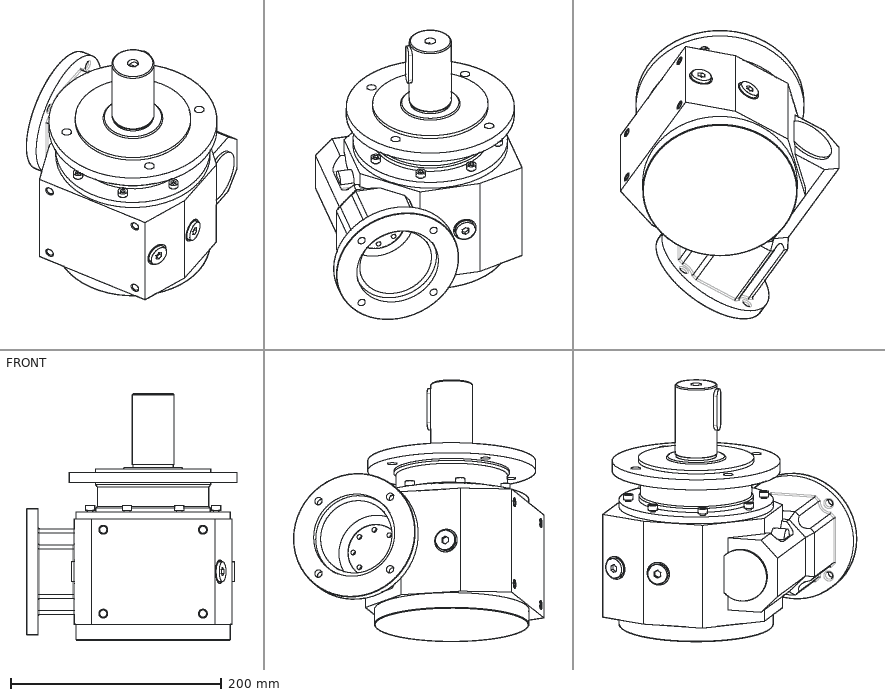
import cadquery as cq
import math


select_margin = 0.2

shaft_top = 234.5
shaft_dia = 40.0
shaft_chamfer = 1.2
shaft_neck_dia = 38.5
shaft_neck_top = 167.0
seal_top = 164.5
seal_dia = 56.7
seal_chamfer = 1.2
pilot_dia = 110.0
pilot_top = 163.0
flange_dia = 160.0
flange_top = 159.7
flange_bottom = 149.8
collar_bottom = 148.0
neck_dia = 106.0
neck_top = 145.6
neck_bottom = 127.3
foot_dia = 108.8
foot_top = 125.7
disc_dia = 147.0
disc_top = 122.0
base_chamfer = 0.7
flange_hole_count = 4
flange_hole_start_angle = 45
flange_hole_dia = 9.0
flange_hole_circle = 130.0
center_hole_dia = 10.0
center_hole_depth = 18.8
drill_tip_angle = 118

key_width = 12.0
key_reach = 22.7
key_bottom = 191.1
key_top = 231.5

screw_count = 8
screw_circle = 129.7
screw_head_dia = 9.0
screw_head_bottom = 123.5
screw_head_top = 128.3
screw_shank_dia = 5.5
screw_socket_width = 4.5
screw_socket_depth = 2.3

housing_half = 75.0
housing_bottom = 15.0
housing_top = 115.4
housing_front_half = 58.6
housing_side_half = 29.3
housing_back = 77.0
housing_back_half = 30.0
front_hole_x = 47.4
front_hole_dz = 39.9
front_hole_dia = 6.8
front_hole_mouth_dia = 8.5
front_hole_mouth_angle = 90
front_hole_depth = 14.0

input_y = 63.0
input_z = (housing_bottom + housing_top) / 2
input_flange_dia = 120.0
input_flange_start = -120.5
input_flange_end = -109.3
input_flange_chamfer = 0.5
input_hole_dia = 7.0
input_hole_circle = 100.0
arm_half = 40.8
arm_flat_half = 21.5
arm_end = -45.0
arm_root_fillet = 1.5
arm_joint_fillet = 1.6
scallop_radius = 11.3
scallop_center = 36.8
body_half = 35.2
body_flat_half = 18.8
body_start = -34.5
body_end = 56.5
cover_dia = 50.0
cover_thickness = 2.8
input_bore_dia = 70.4
input_bore_end = -47.0
input_recess_dia = 80.0
input_recess_depth = 7.5
hub_dia = 52.0
hub_height = 1.2
hub_hole_count = 8
hub_hole_dia = 4.5
hub_hole_circle = 41.7
hub_hole_depth = 9.4

trough_width = 52.0
trough_floor_z = 90.8
trough_corner_radius = 11.3
trough_pin_dia = 17.0
trough_pin_end = 90.0

plug_dia = 19.0
plug_seat_dia = 22.0
plug_seat_depth = 0.7
plug_height = 2.5
plug_socket_width = 6.5
plug_socket_depth = 3.5
plug_y = -14.8
angled_plug_y = -61.0


def x_plane(x):
    """Plane across the input axis: local x is +Y, local y is +Z."""
    return cq.Plane(origin=(x, input_y, input_z), xDir=(0, 1, 0), normal=(1, 0, 0))


def edges_in_box(center, size):
    """Selector for the edges that lie wholly inside a box."""
    low = [c - s / 2 for c, s in zip(center, size)]
    high = [c + s / 2 for c, s in zip(center, size)]
    return cq.selectors.BoxSelector(low, high, boundingbox=True)


def hexagon(plane, width, depth):
    """Hexagonal prism with the given width across flats."""
    return cq.Workplane(plane).polygon(6, width / math.cos(math.pi / 6)).extrude(depth)


def drilled_hole(position, direction, diameter, depth):
    """Round hole with a conical drill tip at its end."""
    radius = diameter / 2
    tip = radius / math.tan(math.radians(drill_tip_angle / 2))
    start = cq.Vector(*position)
    axis = cq.Vector(*direction)
    barrel = cq.Solid.makeCylinder(radius, depth, start, axis)
    cone = cq.Solid.makeCone(radius, 0, tip, start + axis * depth, axis)
    return cq.Workplane(barrel.fuse(cone))


def output_column():
    """Everything turned about the Z axis: base, disc, neck, flange and shaft."""
    profile = [
        (0, 0),
        (disc_dia / 2 - base_chamfer, 0),
        (disc_dia / 2, base_chamfer),
        (disc_dia / 2, disc_top),
        (foot_dia / 2, disc_top),
        (foot_dia / 2, foot_top),
        (neck_dia / 2, neck_bottom),
        (neck_dia / 2, neck_top),
        (pilot_dia / 2, collar_bottom),
        (pilot_dia / 2, flange_bottom),
        (flange_dia / 2, flange_bottom),
        (flange_dia / 2, flange_top),
        (pilot_dia / 2, flange_top),
        (pilot_dia / 2, pilot_top),
        (seal_dia / 2, pilot_top),
        (seal_dia / 2 - seal_chamfer, seal_top),
        (shaft_neck_dia / 2, seal_top),
        (shaft_neck_dia / 2, shaft_neck_top),
        (shaft_dia / 2, shaft_neck_top),
        (shaft_dia / 2, shaft_top - shaft_chamfer),
        (shaft_dia / 2 - shaft_chamfer, shaft_top),
        (0, shaft_top),
    ]
    column = cq.Workplane("XZ").polyline(profile).close().revolve(360, (0, 0), (0, 1))
    flange_holes = (
        cq.Workplane("XY", origin=(0, 0, flange_bottom))
        .polarArray(flange_hole_circle / 2, flange_hole_start_angle, 360, flange_hole_count)
        .circle(flange_hole_dia / 2)
        .extrude(flange_top - flange_bottom)
    )
    center_hole = drilled_hole((0, 0, shaft_top), (0, 0, -1), center_hole_dia, center_hole_depth)
    return column.cut(flange_holes).cut(center_hole)


def shaft_key():
    """Round-ended key on the +Y side of the shaft."""
    return (
        cq.Workplane("XZ", origin=(0, 0, (key_bottom + key_top) / 2))
        .slot2D(key_top - key_bottom, key_width, 90)
        .extrude(-key_reach)
    )


def disc_screw(angle):
    """Socket-head screw standing on the disc."""
    x = screw_circle / 2 * math.cos(angle)
    y = screw_circle / 2 * math.sin(angle)
    shank = (
        cq.Workplane("XY", origin=(x, y, housing_top))
        .circle(screw_shank_dia / 2)
        .extrude(screw_head_bottom - housing_top)
    )
    head = (
        cq.Workplane("XY", origin=(x, y, screw_head_bottom))
        .circle(screw_head_dia / 2)
        .extrude(screw_head_top - screw_head_bottom)
    )
    socket_plane = cq.Plane(origin=(x, y, screw_head_top), normal=(0, 0, -1))
    return shank.union(head).cut(hexagon(socket_plane, screw_socket_width, screw_socket_depth))


def housing():
    """Eight-sided block with four threaded-hole mouths in its front face."""
    right_side = [
        (housing_front_half, -housing_half),
        (housing_half, -housing_side_half),
        (housing_half, housing_side_half),
        (housing_back_half, housing_back),
    ]
    left_side = [(-x, y) for x, y in reversed(right_side)]
    block = (
        cq.Workplane("XY", origin=(0, 0, housing_bottom))
        .polyline(right_side + left_side)
        .close()
        .extrude(housing_top - housing_bottom)
    )
    return (
        block.faces("<Y")
        .workplane(origin=(0, -housing_half, input_z))
        .rect(2 * front_hole_x, 2 * front_hole_dz, forConstruction=True)
        .vertices()
        .cskHole(front_hole_dia, front_hole_mouth_dia, front_hole_mouth_angle, front_hole_depth)
    )


def octagon_points(half, flat_half):
    """Corners of a square with cut corners."""
    return [
        (half, -flat_half),
        (half, flat_half),
        (flat_half, half),
        (-flat_half, half),
        (-half, flat_half),
        (-half, -flat_half),
        (-flat_half, -half),
        (flat_half, -half),
    ]


def input_body():
    """Scalloped square arm, tapering into the eight-sided body behind the housing."""
    arm_octagon = octagon_points(arm_half, arm_flat_half)
    body_octagon = octagon_points(body_half, body_flat_half)
    arm = (
        cq.Workplane(x_plane(input_flange_end))
        .polyline(arm_octagon)
        .close()
        .extrude(arm_end - input_flange_end)
    )
    taper = (
        cq.Workplane(x_plane(arm_end))
        .polyline(arm_octagon)
        .close()
        .workplane(offset=body_start - arm_end)
        .polyline(body_octagon)
        .close()
        .loft(ruled=True)
    )
    body = (
        cq.Workplane(x_plane(body_start))
        .polyline(body_octagon)
        .close()
        .extrude(body_end - body_start)
    )
    scallops = (
        cq.Workplane(x_plane(input_flange_end))
        .rect(2 * scallop_center, 2 * scallop_center, forConstruction=True)
        .vertices()
        .circle(scallop_radius)
        .extrude(body_start - input_flange_end)
    )
    cover = cq.Workplane(x_plane(body_end)).circle(cover_dia / 2).extrude(cover_thickness)
    return arm.union(taper).cut(scallops).union(body).union(cover)


def input_flange():
    """Round motor flange with four through holes."""
    thickness = input_flange_end - input_flange_start
    flange = cq.Workplane(x_plane(input_flange_start)).circle(input_flange_dia / 2).extrude(thickness)
    flange = flange.edges("<X").chamfer(input_flange_chamfer)
    holes = (
        cq.Workplane(x_plane(input_flange_start))
        .polarArray(input_hole_circle / 2, flange_hole_start_angle, 360, flange_hole_count)
        .circle(input_hole_dia / 2)
        .extrude(thickness)
    )
    return flange.cut(holes)


def input_cavity():
    """Stepped bore around a low hub that carries a ring of small holes."""
    recess = (
        cq.Workplane(x_plane(input_flange_start))
        .circle(input_recess_dia / 2)
        .extrude(input_recess_depth)
    )
    bore = (
        cq.Workplane(x_plane(input_flange_start))
        .circle(input_bore_dia / 2)
        .extrude(input_bore_end - input_flange_start)
    )
    hub = cq.Workplane(x_plane(input_bore_end)).circle(hub_dia / 2).extrude(-hub_height)
    cavity = recess.union(bore).cut(hub)
    for i in range(hub_hole_count):
        angle = i * 2 * math.pi / hub_hole_count
        y = input_y + hub_hole_circle / 2 * math.cos(angle)
        z = input_z + hub_hole_circle / 2 * math.sin(angle)
        position = (input_bore_end - hub_height, y, z)
        cavity = cavity.union(drilled_hole(position, (1, 0, 0), hub_hole_dia, hub_hole_depth))
    return cavity


def trough():
    """Open trough along +Y with rounded lower corners, starting at the back of the housing."""
    height = input_z + arm_half - trough_floor_z
    length = input_y + arm_half - housing_back
    return (
        cq.Workplane("XY", origin=(0, housing_back, trough_floor_z))
        .box(trough_width, length, 2 * height, centered=(True, False, False))
        .edges("|Y and <Z")
        .fillet(trough_corner_radius)
    )


def trough_pin():
    """Round pin lying half sunk in the trough floor."""
    return (
        cq.Workplane("XZ", origin=(0, housing_back, trough_floor_z))
        .circle(trough_pin_dia / 2)
        .extrude(housing_back - trough_pin_end)
    )


def fit_plug(part, position, outward):
    """Sink a round seat into a face and set a hex-socket plug in it."""
    plane = cq.Plane(origin=position, xDir=(0, 0, 1), normal=outward)
    seat = cq.Workplane(plane).circle(plug_seat_dia / 2).extrude(-plug_seat_depth)
    head = (
        cq.Workplane(plane)
        .workplane(offset=-plug_seat_depth)
        .circle(plug_dia / 2)
        .extrude(plug_seat_depth + plug_height)
    )
    plug_face = cq.Workplane(plane).workplane(offset=plug_height).plane
    socket = hexagon(plug_face, plug_socket_width, -plug_socket_depth)
    return part.cut(seat).union(head).cut(socket)


result = output_column().union(shaft_key()).union(housing())
for i in range(screw_count):
    result = result.union(disc_screw((i + 0.5) * 2 * math.pi / screw_count))

input_side = input_body().cut(trough()).union(input_flange())
arm_root = edges_in_box(
    (input_flange_end, input_y, input_z),
    (2 * select_margin, input_flange_dia - select_margin, input_flange_dia - select_margin),
)
input_side = input_side.edges(arm_root).fillet(arm_root_fillet)
result = result.union(input_side).union(trough_pin())

arm_front = input_y - arm_half
arm_front_depth = arm_half - scallop_center
arm_joint = edges_in_box(
    (-housing_half, arm_front + arm_front_depth / 2, input_z),
    (2 * select_margin, arm_front_depth + 2 * select_margin, 2 * arm_half),
)
result = result.edges(arm_joint).fillet(arm_joint_fillet)
result = result.cut(input_cavity())

for side in (-1, 1):
    result = fit_plug(result, (side * housing_half, plug_y, input_z), (side, 0, 0))

slant_run = housing_half - housing_front_half
slant_rise = housing_half - housing_side_half
angled_plug_x = housing_front_half + slant_run * (angled_plug_y + housing_half) / slant_rise
result = fit_plug(result, (angled_plug_x, angled_plug_y, input_z), (slant_rise, -slant_run, 0))